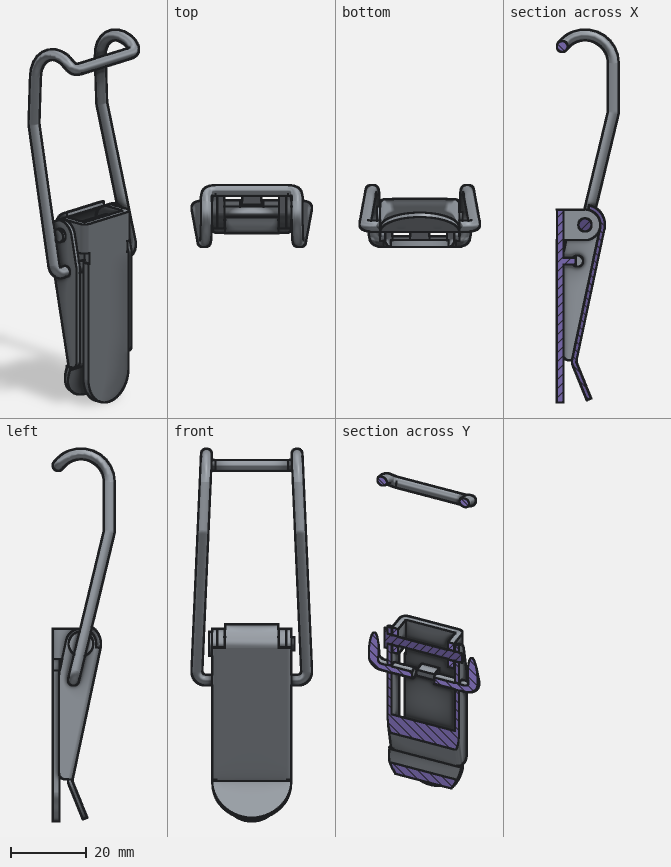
import cadquery as cq
import math


plate_thick = 1.9
sheet_thick = 1.3
lever_half_width = 10.5
bracket_half_width = 9.1

pivot_y = -7.5
pivot_z = 47.0
eye_radius = 4.0
curl_radius = eye_radius + sheet_thick
curl_half_width = 7.0

channel_corner_radius = 1.8
neck_height = 3
plate_half_width = 7.6
tab_half_width = 2.6
tab_reach = 5.1

lever_tilt = math.radians(12)
wall_back_y = -1.7
wall_bottom_z = 11.2
wall_corner_radius = 1.6
edge_radius = 1.2
handle_tilt = math.radians(22)
handle_top_z = 10.8

pin_radius = 1.8
pin_head_radius = 3.3
pin_overhang = 0.9

wire_radius = 1.5
wire_bend_radius = 2.4
foot_end_x = 3.2
foot_y = -5.5
foot_z = 37.4
foot_corner_x = 14.6
arm_lean = 0.044
kink_z = 76.7
hook_radius = 7.5
hook_center_y = -7.5
hook_center_z = 98.7 - wire_radius - hook_radius
hook_overrun = math.radians(21)
bar_y = -wire_radius
bar_z = 94.1
bar_half_length = 9.6


def box(x0, x1, y0, y1, z0, z1):
    return cq.Workplane("XY").box(x1 - x0, y1 - y0, z1 - z0, centered=False).translate((x0, y0, z0))


def x_cylinder(radius, x0, x1, y, z):
    return cq.Workplane("YZ", origin=(x0, 0, 0)).center(y, z).circle(radius).extrude(x1 - x0)


def side_plane(half_width):
    """YZ plane for profiles extruded across the latch from -half_width to +half_width."""
    return cq.Workplane("YZ", origin=(-half_width, 0, 0))


def around_pivot(radius, angle):
    """Point at an angle from the lever's front normal, turning upwards."""
    a = angle - lever_tilt
    return (pivot_y - radius * math.cos(a), pivot_z + radius * math.sin(a))


def on_front(radius, z):
    """Point at height z on the lever plane that is tangent to a pivot circle of this radius."""
    y, tangent_z = around_pivot(radius, 0)
    return (y + (tangent_z - z) * math.tan(lever_tilt), z)


def on_back(z):
    """Point at height z on the slanted rear edge of the lever walls."""
    y, tangent_z = around_pivot(eye_radius, math.pi)
    return (y + (tangent_z - z) * math.tan(lever_tilt), z)


def make_bracket():
    ear_bottom_z = pivot_z - eye_radius
    ear_top_z = pivot_z + eye_radius
    inner = bracket_half_width - plate_thick

    channel = (
        side_plane(bracket_half_width)
        .moveTo(0, ear_bottom_z)
        .lineTo(pivot_y, ear_bottom_z)
        .threePointArc((pivot_y - eye_radius, pivot_z), (pivot_y, ear_top_z))
        .lineTo(0, ear_top_z)
        .close()
        .extrude(2 * bracket_half_width)
        .edges(">Y and |Z").fillet(channel_corner_radius)
    )
    channel = channel.cut(
        box(-inner, inner, pivot_y - 2 * eye_radius, -plate_thick, ear_bottom_z, ear_top_z)
    )

    neck_z = ear_bottom_z - neck_height
    plate = (
        cq.Workplane("XZ")
        .moveTo(-plate_half_width, plate_half_width)
        .threePointArc((0, 0), (plate_half_width, plate_half_width))
        .lineTo(plate_half_width, neck_z)
        .lineTo(-plate_half_width, neck_z)
        .close()
        .extrude(plate_thick)
    )
    neck = box(-inner, inner, -plate_thick, 0, neck_z, ear_bottom_z)

    tab = box(
        -tab_half_width, tab_half_width, -tab_reach, 0,
        foot_z - plate_thick / 2, foot_z + plate_thick / 2,
    )
    bracket = channel.union(plate).union(neck).union(tab)
    return bracket.cut(x_cylinder(pin_radius, -lever_half_width, lever_half_width, pivot_y, pivot_z))


def make_lever():
    inner_half_width = lever_half_width - sheet_thick
    slant_end_z = (on_back(0)[0] - wall_back_y) / math.tan(lever_tilt)

    blank = (
        side_plane(lever_half_width)
        .moveTo(*on_front(curl_radius, wall_bottom_z))
        .lineTo(*around_pivot(curl_radius, 0))
        .lineTo(*around_pivot(eye_radius, 0))
        .threePointArc(around_pivot(eye_radius, math.pi / 2), around_pivot(eye_radius, math.pi))
        .lineTo(wall_back_y, slant_end_z)
        .lineTo(wall_back_y, wall_bottom_z + wall_corner_radius)
        .radiusArc((wall_back_y - wall_corner_radius, wall_bottom_z), wall_corner_radius)
        .close()
        .extrude(2 * lever_half_width)
    )
    front_normal = cq.Vector(0, -math.cos(lever_tilt), -math.sin(lever_tilt))
    front_edges = blank.faces(cq.DirectionMinMaxSelector(front_normal, True)).edges("not |X")
    blank = blank.newObject(front_edges.vals()).fillet(edge_radius)

    top_z = pivot_z + curl_radius
    hollow = (
        side_plane(inner_half_width)
        .moveTo(*on_front(eye_radius, 0))
        .lineTo(*around_pivot(eye_radius, 0))
        .threePointArc(around_pivot(eye_radius, math.pi / 4), around_pivot(eye_radius, math.pi / 2))
        .lineTo(*around_pivot(curl_radius, math.pi / 2))
        .lineTo(0, top_z)
        .lineTo(0, 0)
        .close()
        .extrude(2 * inner_half_width)
    )

    curl = (
        side_plane(curl_half_width)
        .moveTo(*on_front(curl_radius, wall_bottom_z))
        .lineTo(*around_pivot(curl_radius, 0))
        .threePointArc(around_pivot(curl_radius, math.pi / 4), around_pivot(curl_radius, math.pi / 2))
        .lineTo(*around_pivot(eye_radius, math.pi / 2))
        .threePointArc(around_pivot(eye_radius, math.pi / 4), around_pivot(eye_radius, 0))
        .lineTo(*on_front(eye_radius, wall_bottom_z))
        .close()
        .extrude(2 * curl_half_width)
    )

    crease = on_front(curl_radius, handle_top_z)
    heel = (
        crease[0] + sheet_thick * math.cos(handle_tilt),
        crease[1] - sheet_thick * math.sin(handle_tilt),
    )
    bend = (
        side_plane(lever_half_width)
        .polyline([crease, on_front(curl_radius, wall_bottom_z), on_front(eye_radius, wall_bottom_z), heel])
        .close()
        .extrude(2 * lever_half_width)
    )

    handle_plane = cq.Plane(
        origin=(0, *crease),
        xDir=(1, 0, 0),
        normal=(0, math.cos(handle_tilt), -math.sin(handle_tilt)),
    )
    handle = (
        cq.Workplane(handle_plane)
        .moveTo(-lever_half_width, 0)
        .threePointArc((0, lever_half_width), (lever_half_width, 0))
        .close()
        .extrude(sheet_thick)
    )

    lever = blank.cut(hollow).union(curl).union(bend).union(handle)
    for radius, y, z in [(pin_radius, pivot_y, pivot_z), (wire_radius, foot_y, foot_z)]:
        lever = lever.cut(x_cylinder(radius, -lever_half_width, lever_half_width, y, z))
    return lever


def make_pin():
    overall = lever_half_width + pin_overhang
    shank = x_cylinder(pin_radius, -lever_half_width, overall, pivot_y, pivot_z)
    head = x_cylinder(pin_head_radius, -overall, -lever_half_width, pivot_y, pivot_z)
    return shank.union(head)


def arm_point(y, z):
    """Point in the leaning plane of the +X arm."""
    return cq.Vector(foot_corner_x - arm_lean * (z - foot_z), y, z)


def hook_point(angle):
    """Point on the hook at an angle from its front, turning upwards."""
    return arm_point(
        hook_center_y - hook_radius * math.cos(angle),
        hook_center_z + hook_radius * math.sin(angle),
    )


def rounded_corner(before, corner, after):
    """Arc of the wire bend radius that rounds the corner between two straight runs."""
    to_before = (before - corner).normalized()
    to_after = (after - corner).normalized()
    half_angle = to_before.getAngle(to_after) / 2
    setback = wire_bend_radius / math.tan(half_angle)
    depth = wire_bend_radius / math.sin(half_angle) - wire_bend_radius
    middle = corner + (to_before + to_after).normalized() * depth
    return cq.Edge.makeThreePointArc(corner + to_before * setback, middle, corner + to_after * setback)


def make_wire():
    foot_end = cq.Vector(foot_end_x, foot_y, foot_z)
    foot_corner = arm_point(foot_y, foot_z)
    hook_start = hook_point(0)
    kink = arm_point(hook_start.y, kink_z)
    hook_end_angle = math.pi / 2 + hook_overrun
    hook = cq.Edge.makeThreePointArc(
        hook_start, hook_point(hook_end_angle / 2), hook_point(hook_end_angle)
    )
    bar_end = cq.Vector(bar_half_length, bar_y, bar_z)

    foot_bend = rounded_corner(foot_end, foot_corner, kink)
    kink_bend = rounded_corner(foot_corner, kink, hook_start)
    bar_bend = cq.Edge.makeSpline(
        [hook.endPoint(), bar_end], tangents=[hook.tangentAt(1), cq.Vector(-1, 0, 0)]
    )
    path = cq.Wire.assembleEdges([
        cq.Edge.makeLine(foot_end, foot_bend.startPoint()),
        foot_bend,
        cq.Edge.makeLine(foot_bend.endPoint(), kink_bend.startPoint()),
        kink_bend,
        cq.Edge.makeLine(kink_bend.endPoint(), hook_start),
        hook,
        bar_bend,
    ])
    arm = (
        cq.Workplane("YZ", origin=foot_end.toTuple())
        .circle(wire_radius)
        .sweep(cq.Workplane(path), transition="round")
    )
    bar = x_cylinder(wire_radius, -bar_half_length, bar_half_length, bar_y, bar_z)
    return bar.union(arm).union(arm.mirror("YZ"))


bracket = make_bracket()
lever = make_lever()
pin = make_pin()
wire = make_wire()

result = cq.Compound.makeCompound([bracket.val(), lever.val(), pin.val(), wire.val()])